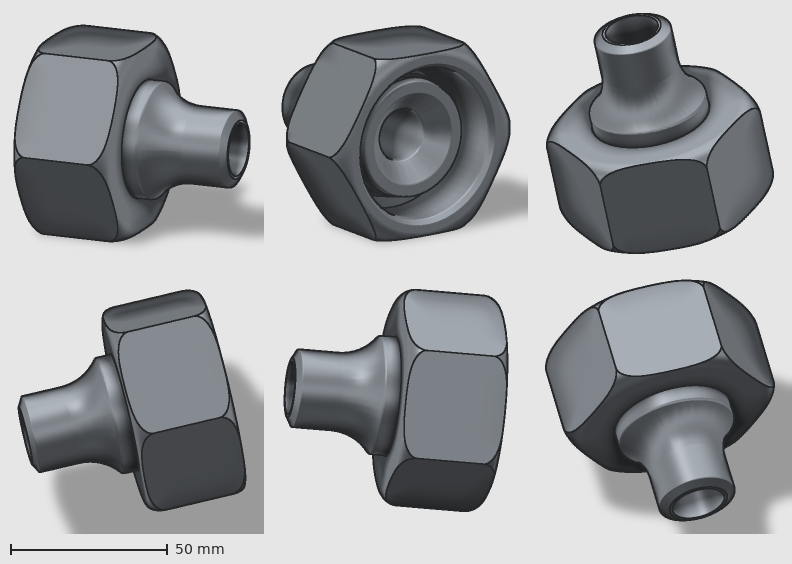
import cadquery as cq
import math


nut_length = 32.5
across_flats = 60.0
corner_radius = across_flats / math.sqrt(3)
corner_rounding = 5.5
thread_bore_radius = 49.8 / 2
thread_bore_depth = 19.1
mouth_radius = 26.4
mouth_chamfer_depth = 1.7
mouth_rounding = 0.25
thread_start_rounding = 1.0
nut_hole_radius = 38.34 / 2
seat_end = thread_bore_depth + thread_bore_radius - nut_hole_radius

nipple_start = 8.0
nipple_end = 64.96
collar_radius = 43 / 2
neck_radius = 38 / 2
tube_radius = 25 / 2
cone_slope = math.tan(math.radians(12))
cone_front_radius = 18.87
cone_end = nipple_start + (collar_radius - cone_front_radius) / cone_slope
collar_back_start = thread_bore_depth + thread_bore_radius - collar_radius
collar_back_end = collar_back_start + collar_radius - neck_radius
front_rounding = 0.3

sweep_radius = 16.0
sweep_end = 50.4
shoulder_rounding = 1.0

bevel_face_radius = 9.5
bevel_length = (tube_radius - bevel_face_radius) * math.tan(math.radians(30))
bevel_rounding = 0.5

bore_radius = 17.05 / 2
funnel_mouth_radius = 14.95
funnel_end = nipple_start + funnel_mouth_radius - bore_radius
funnel_rounding = 1.0
funnel_mouth_rounding = 0.6

ring_section = 2.5
groove_floor_radius = 17.0
ring_centre_radius = groove_floor_radius + ring_section / 2
groove_front_radius = groove_floor_radius + ring_section
groove_width = 3.0
groove_start = nipple_start + (groove_front_radius - cone_front_radius) / cone_slope
groove_end = groove_start + groove_width
groove_back_radius = groove_front_radius + groove_width * cone_slope


def turn(profile):
    """Revolve a closed (x, radius) outline about the X axis."""
    return profile.close().revolve(360, (0, 0, 0), (1, 0, 0))


def round_circle(body, x, radius, rounding):
    """Fillet the circular edge found at the given axial position and radius."""
    edges = [
        edge
        for edge in body.edges("%CIRCLE").vals()
        if math.isclose(edge.Center().x, x, abs_tol=1e-4)
        and math.isclose(edge.radius(), radius, abs_tol=1e-4)
    ]
    return body.newObject(edges).fillet(rounding)


def make_nut():
    hexagon = (
        cq.Workplane("YZ")
        .polygon(6, 2 * corner_radius)
        .extrude(nut_length)
    )
    rounded_blank = (
        cq.Workplane("YZ")
        .circle(corner_radius)
        .extrude(nut_length)
        .edges()
        .fillet(corner_rounding)
    )
    cavity = turn(
        cq.Workplane("XY")
        .lineTo(0, mouth_radius)
        .lineTo(mouth_chamfer_depth, thread_bore_radius)
        .lineTo(thread_bore_depth, thread_bore_radius)
        .lineTo(seat_end, nut_hole_radius)
        .lineTo(nut_length, nut_hole_radius)
        .lineTo(nut_length, 0)
    )
    body = hexagon.intersect(rounded_blank).cut(cavity)
    body = round_circle(body, 0, mouth_radius, mouth_rounding)
    return round_circle(body, mouth_chamfer_depth, thread_bore_radius, thread_start_rounding)


def make_nipple():
    sweep_centre_radius = tube_radius + sweep_radius
    sweep_start = sweep_end - math.sqrt(sweep_radius**2 - (sweep_centre_radius - neck_radius) ** 2)
    half_angle = math.asin((sweep_end - sweep_start) / sweep_radius) / 2
    sweep_middle = (
        sweep_end - sweep_radius * math.sin(half_angle),
        sweep_centre_radius - sweep_radius * math.cos(half_angle),
    )
    body = turn(
        cq.Workplane("XY")
        .moveTo(nipple_start, funnel_mouth_radius)
        .lineTo(nipple_start, cone_front_radius)
        .lineTo(groove_start, groove_front_radius)
        .lineTo(groove_start, groove_floor_radius)
        .lineTo(groove_end, groove_floor_radius)
        .lineTo(groove_end, groove_back_radius)
        .lineTo(cone_end, collar_radius)
        .lineTo(collar_back_start, collar_radius)
        .lineTo(collar_back_end, neck_radius)
        .lineTo(sweep_start, neck_radius)
        .threePointArc(sweep_middle, (sweep_end, tube_radius))
        .lineTo(nipple_end - bevel_length, tube_radius)
        .lineTo(nipple_end, bevel_face_radius)
        .lineTo(nipple_end, bore_radius)
        .lineTo(funnel_end, bore_radius)
    )
    body = round_circle(body, nipple_start, cone_front_radius, front_rounding)
    body = round_circle(body, nipple_start, funnel_mouth_radius, funnel_mouth_rounding)
    body = round_circle(body, funnel_end, bore_radius, funnel_rounding)
    body = round_circle(body, sweep_start, neck_radius, shoulder_rounding)
    return round_circle(body, nipple_end - bevel_length, tube_radius, bevel_rounding)


def make_o_ring():
    ring_x = (groove_start + groove_end) / 2
    return (
        cq.Workplane("XY")
        .center(ring_x, ring_centre_radius)
        .circle(ring_section / 2)
        .revolve(360, (0, -ring_centre_radius, 0), (1, -ring_centre_radius, 0))
    )


nut = make_nut()
nipple = make_nipple()
o_ring = make_o_ring()

result = cq.Compound.makeCompound([nut.val(), nipple.val(), o_ring.val()])